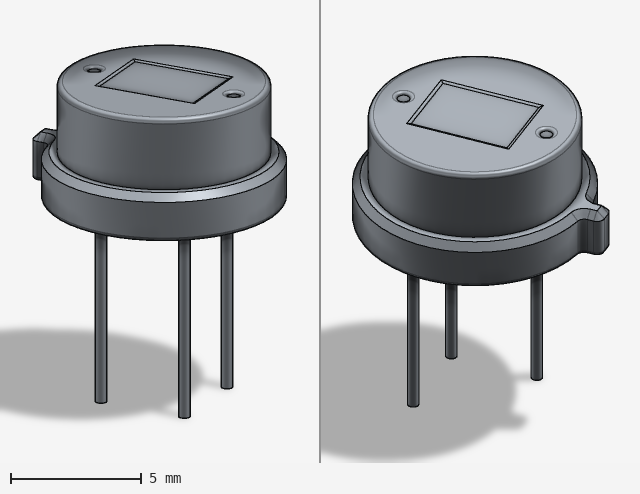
import cadquery as cq

pin_length = 8.0
flange_height = 1.91
total_height = 12.8
flange_top = pin_length + flange_height

flange_radius = 4.7
tab_reach = 5.5
tab_width = 1.0
tab_corner_radius = 0.31
tab_root_radius = 0.3
flange_top_chamfer = 0.3
flange_bottom_radius = 0.15

cap_radius = 4.1
cap_edge_radius = 0.2

window_length = 4.28
window_width = 3.25
window_depth = 0.05
window_wall_run = 0.13

dimple_offset = 3.0
dimple_floor_radius = 0.24
dimple_mouth_radius = 0.42
dimple_depth = 0.1
dimple_wall_run = dimple_mouth_radius - dimple_floor_radius
dimple_wall_radius = (dimple_wall_run**2 + dimple_depth**2) / (2 * dimple_depth)

pin_diameter = 0.45
pin_offset = 1.79
pin_centres = [
    (-pin_offset, -pin_offset),
    (pin_offset, -pin_offset),
    (pin_offset, pin_offset),
]


def make_flange():
    disc = cq.Workplane("XY").circle(flange_radius).extrude(flange_height)
    tab = (
        cq.Workplane("XY")
        .box(tab_reach, tab_width, flange_height, centered=(False, True, False))
        .translate((-tab_reach, 0, 0))
        .edges("|Z and <X")
        .fillet(tab_corner_radius)
    )
    root_edges = cq.selectors.BoxSelector(
        (-flange_radius - tab_root_radius, -tab_width, 0),
        (-flange_radius + tab_root_radius, tab_width, flange_height),
    )
    flange = disc.union(tab).edges("|Z").edges(root_edges).fillet(tab_root_radius)
    flange = flange.faces(">Z").chamfer(flange_top_chamfer)
    flange = flange.faces("<Z").edges().fillet(flange_bottom_radius)
    return flange.translate((0, 0, pin_length))


def make_cap():
    return (
        cq.Workplane("XY")
        .workplane(offset=flange_top)
        .circle(cap_radius)
        .extrude(total_height - flange_top)
        .faces(">Z")
        .edges()
        .fillet(cap_edge_radius)
    )


def make_window_cutter():
    return (
        cq.Workplane("XY")
        .workplane(offset=total_height)
        .rect(window_length, window_width)
        .workplane(offset=-window_depth)
        .rect(window_length - 2 * window_wall_run, window_width - 2 * window_wall_run)
        .loft(ruled=True)
    )


def make_dimple_cutter(x):
    return (
        cq.Workplane("XZ")
        .moveTo(0, -dimple_depth)
        .lineTo(dimple_floor_radius, -dimple_depth)
        .radiusArc((dimple_mouth_radius, 0), dimple_wall_radius)
        .lineTo(0, 0)
        .close()
        .revolve(360, (0, 0), (0, 1))
        .translate((x, 0, total_height))
    )


def make_pins():
    return cq.Workplane("XY").pushPoints(pin_centres).circle(pin_diameter / 2).extrude(pin_length)


result = make_flange().union(make_cap()).union(make_pins()).cut(make_window_cutter())
for dimple_x in (-dimple_offset, dimple_offset):
    result = result.cut(make_dimple_cutter(dimple_x))